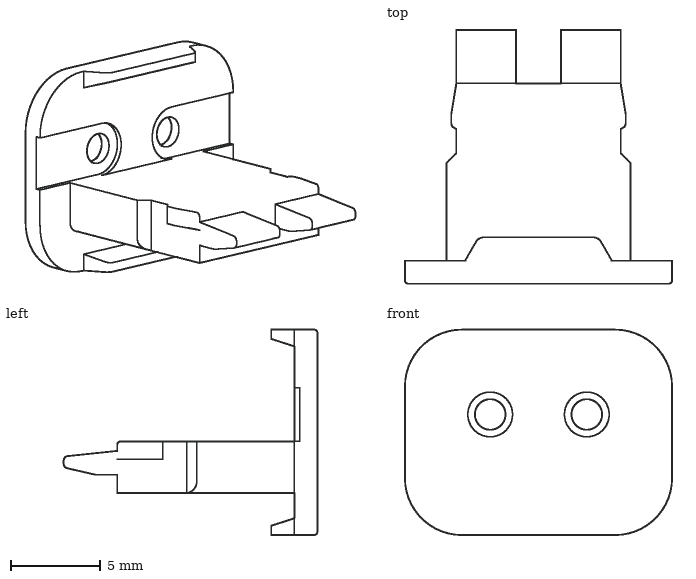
import cadquery as cq
import math

PLATE_WIDTH = 14.95
PLATE_HEIGHT = 11.5
PLATE_THICKNESS = 1.3
PLATE_CORNER_RADIUS = 3.2
PLATE_EDGE_RADIUS = 0.2

HOLE_SPACING = 5.4
HOLE_Z = 1.0
HOLE_DIAMETER = 1.7
COUNTERSINK_DIAMETER = 2.5
COUNTERSINK_ANGLE = 90
SLOT_WIDTH = 3.0
SLOT_DEPTH = 0.3

RIB_LENGTH = 1.3
RIB_BASE_WIDTH = 8.2
RIB_SIDE_ANGLE = 60
RIB_CORNER_RADIUS = 0.5
RIB_BASE_THICKNESS = 0.95
RIB_TIP_THICKNESS = 0.53

BODY_TOP = HOLE_Z - SLOT_WIDTH / 2
BODY_HEIGHT = 2.9
BODY_BOTTOM = BODY_TOP - BODY_HEIGHT
BODY_END = 11.2
BODY_WIDTH = 9.2
BODY_END_RADIUS = 0.2
SHOULDER_WIDTH = 10.3
SHOULDER_END = 6.75
SHOULDER_STEP = (SHOULDER_WIDTH - BODY_WIDTH) / 2
SHOULDER_BOTTOM_RADIUS = 0.65

LATCH_PROJECTION = 0.28
LATCH_HEIGHT = 1.0
LATCH_START = 8.65
LATCH_CATCH_ANGLE = 30
LATCH_RAMP_START = 9.5
LATCH_RADIUS = 0.3

PRONG_LENGTH = 3.0
PRONG_GAP = 2.5
PRONG_TOP_OFFSET = 0.53
PRONG_THICKNESS = 1.35
PRONG_TOP = BODY_TOP - PRONG_TOP_OFFSET
PRONG_BOTTOM = PRONG_TOP - PRONG_THICKNESS
PRONG_FLAT_LENGTH = 1.2
PRONG_TOP_ANGLE = 6
PRONG_BOTTOM_ANGLE = 13
PRONG_TIP_RADIUS = 0.28


def box(x_min, x_max, y_min, y_max, z_min, z_max):
    size = (x_max - x_min, y_max - y_min, z_max - z_min)
    return cq.Workplane("XY").box(*size, centered=False).translate((x_min, y_min, z_min))


def mirrored_in_x(half):
    return half.union(half.mirror("YZ"))


def extrude_plan(points, z_bottom, z_top):
    """Extrude a closed outline of (x, y) points between two heights."""
    plan = cq.Workplane("XY").workplane(offset=z_bottom)
    return plan.polyline(points).close().extrude(z_top - z_bottom)


def extrude_profile(points, x_min, x_max):
    """Extrude a closed outline of (y, z) points between two X positions."""
    side = cq.Workplane("YZ").workplane(offset=x_min)
    return side.polyline(points).close().extrude(x_max - x_min)


def make_plate():
    plate = cq.Workplane("XZ").rect(PLATE_WIDTH, PLATE_HEIGHT).extrude(-PLATE_THICKNESS)
    plate = plate.edges("|Y").fillet(PLATE_CORNER_RADIUS)
    return plate.faces("<Y").edges().fillet(PLATE_EDGE_RADIUS)


def make_rib():
    """Top rib: a trapezoid in plan whose underside slopes up towards the tip."""
    tip_y = PLATE_THICKNESS + RIB_LENGTH
    top_z = PLATE_HEIGHT / 2
    base_z = top_z - RIB_BASE_THICKNESS
    half_base = RIB_BASE_WIDTH / 2
    half_tip = half_base - RIB_LENGTH / math.tan(math.radians(RIB_SIDE_ANGLE))
    outline = [
        (-half_base, PLATE_THICKNESS),
        (half_base, PLATE_THICKNESS),
        (half_tip, tip_y),
        (-half_tip, tip_y),
    ]
    rib = extrude_plan(outline, base_z, top_z)
    rib = rib.faces(">Y").edges("|Z").fillet(RIB_CORNER_RADIUS)
    profile = [
        (PLATE_THICKNESS, top_z),
        (tip_y, top_z),
        (tip_y, top_z - RIB_TIP_THICKNESS),
        (PLATE_THICKNESS, base_z),
    ]
    return rib.intersect(extrude_profile(profile, -half_base, half_base))


def make_body():
    half_width = BODY_WIDTH / 2
    core = box(-half_width, half_width, PLATE_THICKNESS, BODY_END, BODY_BOTTOM, BODY_TOP)
    core = core.edges(">Y and >Z").fillet(BODY_END_RADIUS)
    return core.union(make_shoulder())


def make_shoulder():
    """Wider front length of the body, rounded below and chamfered into the core."""
    half_width = SHOULDER_WIDTH / 2
    core_half_width = BODY_WIDTH / 2
    chamfer_end = SHOULDER_END + SHOULDER_STEP
    block = box(-half_width, half_width, PLATE_THICKNESS, chamfer_end, BODY_BOTTOM, BODY_TOP)
    block = block.edges("|Y and <Z").fillet(SHOULDER_BOTTOM_RADIUS)
    outline = [
        (-half_width, PLATE_THICKNESS),
        (half_width, PLATE_THICKNESS),
        (half_width, SHOULDER_END),
        (core_half_width, chamfer_end),
        (-core_half_width, chamfer_end),
        (-half_width, SHOULDER_END),
    ]
    return block.intersect(extrude_plan(outline, BODY_BOTTOM, BODY_TOP))


def make_latch():
    """Bump on the +X side: sloped, rounded catch in front, ramp to the body end."""
    side_x = BODY_WIDTH / 2
    peak_x = side_x + LATCH_PROJECTION
    catch_slope = LATCH_PROJECTION * math.tan(math.radians(LATCH_CATCH_ANGLE))
    outline = [
        (0, LATCH_START),
        (side_x, LATCH_START),
        (peak_x, LATCH_START + catch_slope),
        (peak_x, LATCH_RAMP_START),
        (side_x, BODY_END),
        (0, BODY_END),
    ]
    latch = extrude_plan(outline, BODY_TOP - LATCH_HEIGHT, BODY_TOP)
    latch = latch.edges("|Z").edges(">X").edges("<Y").fillet(LATCH_RADIUS)
    return latch.edges(">Y and >Z").fillet(BODY_END_RADIUS)


def make_prong():
    """Prong on the +X side: tapered above and below to a rounded tip."""
    tip_y = BODY_END + PRONG_LENGTH
    taper_length = PRONG_LENGTH - PRONG_FLAT_LENGTH
    top_drop = PRONG_LENGTH * math.tan(math.radians(PRONG_TOP_ANGLE))
    bottom_rise = taper_length * math.tan(math.radians(PRONG_BOTTOM_ANGLE))
    profile = [
        (BODY_END, PRONG_TOP),
        (tip_y, PRONG_TOP - top_drop),
        (tip_y, PRONG_BOTTOM + bottom_rise),
        (BODY_END + PRONG_FLAT_LENGTH, PRONG_BOTTOM),
        (BODY_END, PRONG_BOTTOM),
    ]
    prong = extrude_profile(profile, PRONG_GAP / 2, BODY_WIDTH / 2)
    return prong.faces(">Y").edges("|X").fillet(PRONG_TIP_RADIUS)


def make_hole():
    """Cutter for the +X hole: countersink in front, through hole behind."""
    cone_depth = (COUNTERSINK_DIAMETER - HOLE_DIAMETER) / 2
    cone_depth /= math.tan(math.radians(COUNTERSINK_ANGLE / 2))
    profile = [
        (0, 0),
        (COUNTERSINK_DIAMETER / 2, 0),
        (HOLE_DIAMETER / 2, cone_depth),
        (HOLE_DIAMETER / 2, PLATE_THICKNESS),
        (0, PLATE_THICKNESS),
    ]
    cutter = cq.Workplane("XY").polyline(profile).close().revolve(360, (0, 0, 0), (0, 1, 0))
    return cutter.translate((HOLE_SPACING / 2, 0, HOLE_Z))


def make_slot():
    """Cutter for the +X slot: round end on the hole, open at the plate side."""
    hole_x = HOLE_SPACING / 2
    floor_y = PLATE_THICKNESS - SLOT_DEPTH
    radius = SLOT_WIDTH / 2
    channel = box(hole_x, PLATE_WIDTH / 2, floor_y, PLATE_THICKNESS, HOLE_Z - radius, HOLE_Z + radius)
    round_end = cq.Workplane("XZ", origin=(hole_x, floor_y, HOLE_Z)).circle(radius).extrude(-SLOT_DEPTH)
    return channel.union(round_end)


plate = make_plate().cut(mirrored_in_x(make_hole())).cut(mirrored_in_x(make_slot()))
rib = make_rib()
body = make_body().union(mirrored_in_x(make_latch())).union(mirrored_in_x(make_prong()))

result = plate.union(rib).union(rib.mirror("XY")).union(body)